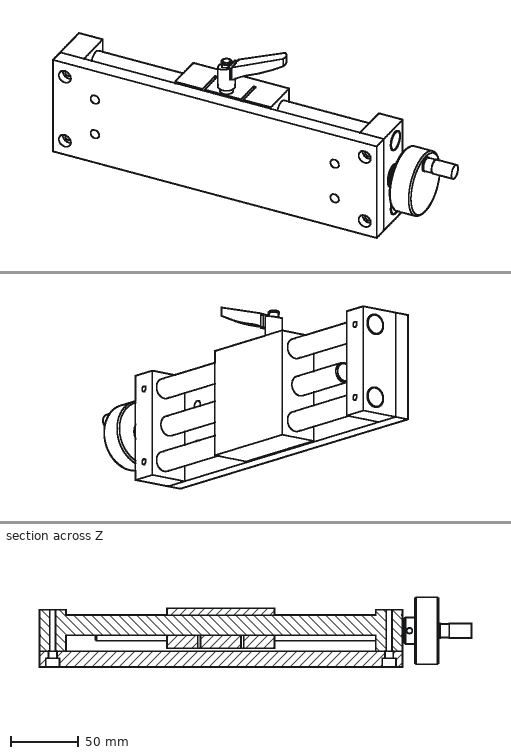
import cadquery as cq
import math

PLATE_LENGTH = 270
PLATE_THICKNESS = 12.0
HEIGHT = 80.0
SCREW_BORE = 10.0
SCREW_BORE_DEPTH = 6.5
SCREW_CLEARANCE = 6.0
MOUNT_HOLE = 7.0
MOUNT_INSET = 35.0
MOUNT_OFFSET_Z = 15.0

BLOCK_WIDTH = 20.0
BLOCK_DEPTH = 31.0
ROD_DIAMETER = 15.0
ROD_CHAMFER = 0.48
ROD_Y = 31.2
ROD_OFFSET_Z = 28.0
SCREW_THREAD = 4.2

CARRIAGE_LENGTH = 80.0
CARRIAGE_DEPTH = 30.0
CARRIAGE_START = 95.0
CARRIAGE_GAP = 2.0
SLOT_WIDTH = 2.0
SLOT_DEPTH_Y = 20.5
SLOT_SPACING = 32

SPINDLE_Y = 27.0
SPINDLE_START = 41.8
SPINDLE_DIAMETER = 15.0
SPINDLE_CHAMFER = 1.0
COLLAR_DIAMETER = 18.0
COLLAR_LENGTH = 1.3
HUB_DIAMETER = 20.0
HUB_LENGTH = 7.7
HUB_CHAMFER = 1.0
WHEEL_DIAMETER = 50.0
WHEEL_WIDTH = 18.0
WHEEL_CHAMFER = 1.3
SET_SCREW_HOLE = 4.2
GRIP_OFFSET_Z = 17.5
GRIP_END = 321.5
GRIP_LENGTH = 16.7
GRIP_DIAMETER = 11.0
GRIP_NECK_DIAMETER = 10.3
GRIP_WASHER_LENGTH = 1.0

LEVER_Y = 19.5
LEVER_ANGLE = 19
STUD_DIAMETER = 10.0
STUD_HEIGHT = 4.0
BOSS_DIAMETER = 13
BOSS_MIDDLE_HEIGHT = 22.0
BOSS_SLOPE = 13
NECK_START = 3.2
NECK_END = 6.0
NECK_BOTTOM = 13.5
NECK_TOP = 23.5
NECK_FRONT = -4.2
NECK_BACK = 7.5
ARM_REACH = 45
ARM_SLOPE = 15
ARM_TIP_TOP = 34.7
ARM_TIP_BOTTOM = 28.5
ARM_ROOT_WIDTH = 11.0
ARM_TIP_WIDTH = 8.7
ARM_TIP_BULGE = 2.0
ARM_UNDERSIDE_BELLY = (29.3, 21.5)
ARM_UNDERSIDE_BEND = (14.8, 17.5)
ARM_UNDERSIDE_HOLLOW = (10.3, 15.8)
CAP_DIAMETER = 8.0
CAP_TOP = 26.5
CAP_HEIGHT = 1.5
CAP_CHAMFER = 1.0
CAP_STEM_DIAMETER = 7.0

SCREW_XS = (BLOCK_WIDTH / 2, PLATE_LENGTH - BLOCK_WIDTH / 2)
MOUNT_XS = (MOUNT_INSET, PLATE_LENGTH - MOUNT_INSET)
FRAME_BACK = PLATE_THICKNESS + BLOCK_DEPTH
CARRIAGE_FRONT = PLATE_THICKNESS + CARRIAGE_GAP
CARRIAGE_MIDDLE = CARRIAGE_START + CARRIAGE_LENGTH / 2
CARRIAGE_TOP = HEIGHT / 2
HUB_START = PLATE_LENGTH + COLLAR_LENGTH
WHEEL_START = HUB_START + HUB_LENGTH
WHEEL_END = WHEEL_START + WHEEL_WIDTH


def block(x, y, z, dx, dy, dz):
    """A box from its lowest corner and its sizes along X, Y and Z."""
    return cq.Workplane("XY").box(dx, dy, dz, centered=False).translate((x, y, z))


def bar_x(x_start, x_end, y, z, diameter):
    """A round bar along X."""
    return cq.Workplane("YZ", origin=(x_start, y, z)).circle(diameter / 2).extrude(x_end - x_start)


def bar_y(x, z, y_start, y_end, diameter):
    """A round bar along Y."""
    return cq.Workplane("XZ", origin=(x, y_start, z)).circle(diameter / 2).extrude(y_start - y_end)


def bar_z(z_start, z_end, diameter):
    """A round bar along the Z axis."""
    return cq.Workplane("XY", origin=(0, 0, z_start)).circle(diameter / 2).extrude(z_end - z_start)


def make_plate():
    """Mounting plate with counterbored frame screw holes and plain mounting holes."""
    plate = block(0, 0, -HEIGHT / 2, PLATE_LENGTH, PLATE_THICKNESS, HEIGHT)
    for side in (-1, 1):
        for x in SCREW_XS:
            z = side * ROD_OFFSET_Z
            plate = plate.cut(bar_y(x, z, 0, SCREW_BORE_DEPTH, SCREW_BORE))
            plate = plate.cut(bar_y(x, z, 0, PLATE_THICKNESS, SCREW_CLEARANCE))
        for x in MOUNT_XS:
            plate = plate.cut(bar_y(x, side * MOUNT_OFFSET_Z, 0, PLATE_THICKNESS, MOUNT_HOLE))
    return plate


def make_guide_frame():
    """Two end blocks joined by two rods, drilled for the plate screws and the spindle."""
    frame = block(0, PLATE_THICKNESS, -HEIGHT / 2, PLATE_LENGTH, BLOCK_DEPTH, HEIGHT)
    opening_length = PLATE_LENGTH - 2 * BLOCK_WIDTH
    frame = frame.cut(
        block(BLOCK_WIDTH, PLATE_THICKNESS, -HEIGHT / 2, opening_length, BLOCK_DEPTH, HEIGHT)
    )
    for side in (-1, 1):
        z = side * ROD_OFFSET_Z
        rod = bar_x(0, PLATE_LENGTH, ROD_Y, z, ROD_DIAMETER)
        frame = frame.cut(rod).union(rod.faces("<X or >X").chamfer(ROD_CHAMFER))
        for x in SCREW_XS:
            frame = frame.cut(bar_y(x, z, PLATE_THICKNESS, FRAME_BACK, SCREW_THREAD))
    spindle_bore = bar_x(PLATE_LENGTH - BLOCK_WIDTH, PLATE_LENGTH, SPINDLE_Y, 0, SPINDLE_DIAMETER)
    return frame.cut(spindle_bore)


def make_carriage():
    """Sliding block with rod bores, a spindle bore and clamping slots reaching down to the rods."""
    slot_height = CARRIAGE_TOP - ROD_OFFSET_Z
    carriage = block(
        CARRIAGE_START, CARRIAGE_FRONT, -HEIGHT / 2, CARRIAGE_LENGTH, CARRIAGE_DEPTH, HEIGHT
    )
    for side in (-1, 1):
        carriage = carriage.cut(bar_x(0, PLATE_LENGTH, ROD_Y, side * ROD_OFFSET_Z, ROD_DIAMETER))
        slot_x = CARRIAGE_MIDDLE + side * SLOT_SPACING / 2 - SLOT_WIDTH / 2
        carriage = carriage.cut(
            block(slot_x, CARRIAGE_FRONT, ROD_OFFSET_Z, SLOT_WIDTH, SLOT_DEPTH_Y, slot_height)
        )
    return carriage.cut(bar_x(0, PLATE_LENGTH, SPINDLE_Y, 0, SPINDLE_DIAMETER))


def make_handwheel():
    """Spindle with its collar, hub, wheel and crank grip."""
    spindle = bar_x(SPINDLE_START, WHEEL_START, SPINDLE_Y, 0, SPINDLE_DIAMETER)
    spindle = spindle.faces("<X").chamfer(SPINDLE_CHAMFER)
    collar = bar_x(PLATE_LENGTH, HUB_START, SPINDLE_Y, 0, COLLAR_DIAMETER)
    hub = bar_x(HUB_START, WHEEL_START, SPINDLE_Y, 0, HUB_DIAMETER).faces("<X").chamfer(HUB_CHAMFER)
    wheel = bar_x(WHEEL_START, WHEEL_END, SPINDLE_Y, 0, WHEEL_DIAMETER).edges().chamfer(WHEEL_CHAMFER)
    grip_start = GRIP_END - GRIP_LENGTH
    neck = bar_x(WHEEL_END, grip_start, SPINDLE_Y, GRIP_OFFSET_Z, GRIP_NECK_DIAMETER)
    grip = bar_x(grip_start, GRIP_END, SPINDLE_Y, GRIP_OFFSET_Z, GRIP_DIAMETER)
    washer = bar_x(WHEEL_END, WHEEL_END + GRIP_WASHER_LENGTH, SPINDLE_Y, GRIP_OFFSET_Z, GRIP_DIAMETER)
    hub_middle = (HUB_START + WHEEL_START) / 2
    set_screw_hole = (
        cq.Workplane("XY", origin=(hub_middle, SPINDLE_Y, SPINDLE_DIAMETER / 2))
        .circle(SET_SCREW_HOLE / 2)
        .extrude(HUB_DIAMETER / 2)
    )
    hub = hub.cut(set_screw_hole)
    return spindle.union(collar).union(hub).union(wheel).union(washer).union(neck).union(grip)


def make_lever_arm():
    """Arm along +X: a side profile trimmed to a tapering, round-ended plan, then turned about the axis."""
    top_at_axis = ARM_TIP_TOP - ARM_REACH * math.tan(math.radians(ARM_SLOPE))
    half_root = ARM_ROOT_WIDTH / 2
    half_tip = ARM_TIP_WIDTH / 2
    side = (
        cq.Workplane("XZ")
        .moveTo(0, top_at_axis)
        .lineTo(ARM_REACH, ARM_TIP_TOP)
        .lineTo(ARM_REACH, ARM_TIP_BOTTOM)
        .threePointArc(ARM_UNDERSIDE_BELLY, ARM_UNDERSIDE_BEND)
        .threePointArc(ARM_UNDERSIDE_HOLLOW, (NECK_END, NECK_BOTTOM))
        .lineTo(0, NECK_BOTTOM)
        .close()
        .extrude(half_root, both=True)
    )
    tip_shoulder = ARM_REACH - ARM_TIP_BULGE
    plan = (
        cq.Workplane("XY")
        .moveTo(0, -half_root)
        .lineTo(tip_shoulder, -half_tip)
        .threePointArc((ARM_REACH, 0), (tip_shoulder, half_tip))
        .lineTo(0, half_root)
        .close()
        .extrude(ARM_TIP_TOP)
    )
    arm = side.intersect(plan).rotate((0, 0, 0), (0, 0, 1), LEVER_ANGLE)
    return arm.cut(block(NECK_END - ARM_REACH, -ARM_REACH, 0, ARM_REACH, 2 * ARM_REACH, ARM_TIP_TOP))


def make_lever():
    """Lever built around its own axis and foot, then placed on the carriage."""
    radius = BOSS_DIAMETER / 2
    rise = radius * math.tan(math.radians(BOSS_SLOPE))
    stud = bar_z(0, STUD_HEIGHT, STUD_DIAMETER)
    under_slope = (
        cq.Workplane("XZ")
        .moveTo(-radius, STUD_HEIGHT)
        .lineTo(radius, STUD_HEIGHT)
        .lineTo(radius, BOSS_MIDDLE_HEIGHT + rise)
        .lineTo(-radius, BOSS_MIDDLE_HEIGHT - rise)
        .close()
        .extrude(radius, both=True)
    )
    boss = bar_z(STUD_HEIGHT, CAP_TOP, BOSS_DIAMETER).intersect(under_slope)
    neck = block(
        NECK_START,
        NECK_FRONT,
        NECK_BOTTOM,
        NECK_END - NECK_START,
        NECK_BACK - NECK_FRONT,
        NECK_TOP - NECK_BOTTOM,
    )
    stem = bar_z(STUD_HEIGHT, CAP_TOP - CAP_HEIGHT, CAP_STEM_DIAMETER)
    cap = bar_z(CAP_TOP - CAP_HEIGHT, CAP_TOP, CAP_DIAMETER).faces(">Z").chamfer(CAP_CHAMFER)
    lever = stud.union(boss).union(neck).union(make_lever_arm()).union(stem).union(cap)
    return lever.translate((CARRIAGE_MIDDLE, LEVER_Y, CARRIAGE_TOP))


plate = make_plate()
guide_frame = make_guide_frame()
carriage = make_carriage()
handwheel = make_handwheel()
lever = make_lever()

result = cq.Compound.makeCompound(
    [plate.val(), guide_frame.val(), carriage.val(), handwheel.val(), lever.val()]
)